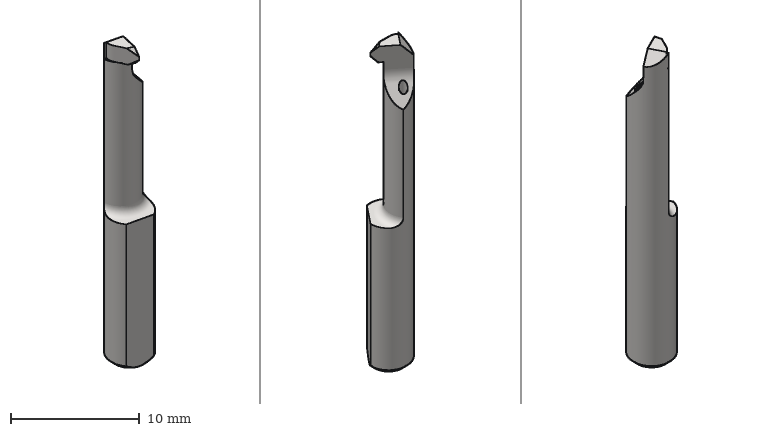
import cadquery as cq
import math

length = 30.0
shank_diameter = 4.0
shank_radius = shank_diameter / 2
flat_x = 1.545
end_chamfer_height = 0.55
end_chamfer_width = 0.55

shoulder_z = 14.05
neck_side_x = 0.4
neck_radius = 1.8
neck_center_x = neck_side_x - neck_radius
neck_fillet = 0.75

head_bottom_z = 28.47
tip_x = 1.45
tip_top_z = 29.43
tip_bottom_z = 29.13
tip_bevel_x = 0.75
tip_underside_x = 0.8
side_relief_angle = 8.0
clearance_bend_x = -0.25
clearance_bend_y = -1.3
clearance_end_y = -1.53
clearance_bulge = 0.075
back_bevel = 1.05

rake_end_z = 27.75
runout_radius = 1.65
runout_angle = math.radians(40)

coolant_diameter = 0.7
coolant_x = -1.08
coolant_y = 0.63

corner_x = (shank_radius**2 - neck_radius**2 + neck_center_x**2) / (2 * neck_center_x)
margin = shank_diameter


def make_bar():
    """Round bar with a conical lower end and a flat on the +X side."""
    profile = (
        cq.Workplane("XZ")
        .moveTo(0, 0)
        .lineTo(shank_radius - end_chamfer_width, 0)
        .lineTo(shank_radius, end_chamfer_height)
        .lineTo(shank_radius, length)
        .lineTo(0, length)
        .close()
    )
    bar = profile.revolve(360, (0, 0, 0), (0, 1, 0))
    flat = cq.Workplane("XY").box(margin, 2 * margin, length, centered=(False, True, False))
    return bar.cut(flat.translate((flat_x, 0, 0)))


def make_neck_envelope():
    """Offset neck cylinder flaring out to the shoulder, above a full-width base."""
    return (
        cq.Workplane("XZ", origin=(neck_center_x, 0, 0))
        .lineTo(2 * margin, 0)
        .lineTo(2 * margin, shoulder_z)
        .lineTo(neck_radius + neck_fillet, shoulder_z)
        .radiusArc((neck_radius, shoulder_z + neck_fillet), neck_fillet)
        .lineTo(neck_radius, head_bottom_z)
        .lineTo(0, head_bottom_z)
        .close()
        .revolve(360, (0, 0, 0), (0, 1, 0))
    )


def make_head_envelope():
    """Pointed head, tapering away from the rake face and cleared in plan."""
    upper_slope = (length - tip_top_z) / (tip_x - tip_bevel_x)
    lower_slope = (tip_bottom_z - head_bottom_z) / (tip_x - tip_underside_x)
    run = 2 * margin
    tip = (
        cq.Workplane("XZ")
        .polyline([
            (tip_x, tip_bottom_z),
            (tip_x, tip_top_z),
            (tip_x - run, tip_top_z + upper_slope * run),
            (tip_x - run, tip_bottom_z - lower_slope * run),
        ])
        .close()
        .extrude(shank_radius, taper=side_relief_angle)
    )
    bend_middle = (
        (clearance_bend_x + corner_x) / 2,
        (clearance_bend_y + clearance_end_y) / 2 - clearance_bulge,
    )
    clearance = (
        cq.Workplane("XY", origin=(0, 0, head_bottom_z))
        .moveTo(-margin, 0)
        .lineTo(tip_x, 0)
        .lineTo(clearance_bend_x, clearance_bend_y)
        .threePointArc(bend_middle, (corner_x, clearance_end_y))
        .lineTo(corner_x, -margin)
        .lineTo(-margin, -margin)
        .close()
        .extrude(length - head_bottom_z)
    )
    return tip.intersect(clearance)


def make_back_bevel():
    """Wedge removed from the upper -X edge at 45 degrees."""
    return (
        cq.Workplane("XZ", origin=(0, margin, 0))
        .moveTo(-shank_radius, length - back_bevel)
        .lineTo(-shank_radius + back_bevel, length)
        .lineTo(-shank_radius, length)
        .close()
        .extrude(2 * margin)
    )


def make_rake_cut():
    """Material removed on the +Y side down to the rake face."""
    runout_y = runout_radius * (1 - math.cos(runout_angle))
    runout_z = rake_end_z - runout_radius * math.sin(runout_angle)
    slope_end_z = runout_z - (margin - runout_y) / math.tan(runout_angle)
    return (
        cq.Workplane("YZ", origin=(-margin, 0, 0))
        .moveTo(0, length)
        .lineTo(0, rake_end_z)
        .radiusArc((runout_y, runout_z), -runout_radius)
        .lineTo(margin, slope_end_z)
        .lineTo(margin, length)
        .close()
        .extrude(2 * margin)
    )


def make_coolant_hole():
    """Hole running the full length of the bar."""
    return cq.Workplane("XY").center(coolant_x, coolant_y).circle(coolant_diameter / 2).extrude(length)


envelope = make_neck_envelope().union(make_head_envelope())
result = make_bar().intersect(envelope)
result = result.cut(make_back_bevel()).cut(make_rake_cut()).cut(make_coolant_hole())